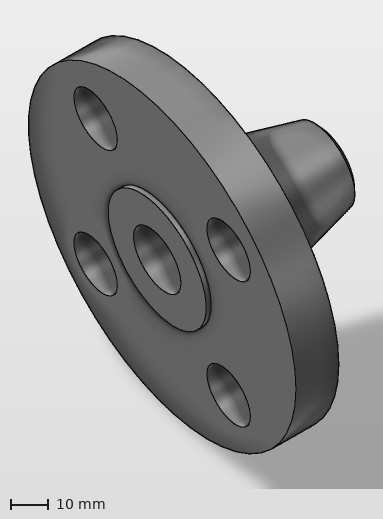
import cadquery as cq
import math

flange_diameter = 117.4
flange_thickness = 14.3

face_diameter = 43.0
face_height = 1.6

hub_length = 41.3
hub_base_diameter = 47.8
hub_tip_diameter = 26.8
bevel_length = 1.5
bevel_end_diameter = 22.3

bore_diameter = 20.8
bolt_hole_diameter = 19.0
bolt_circle_diameter = 82.5
bolt_count = 4
first_bolt_angle = 45.0

hub_end = flange_thickness + hub_length
bevel_start = hub_end - bevel_length


def make_body():
    """Revolve the half section (radius, Y) of face, disc and hub about the Y axis."""
    half_section = [
        (0, -face_height),
        (face_diameter / 2, -face_height),
        (face_diameter / 2, 0),
        (flange_diameter / 2, 0),
        (flange_diameter / 2, flange_thickness),
        (hub_base_diameter / 2, flange_thickness),
        (hub_tip_diameter / 2, bevel_start),
        (bevel_end_diameter / 2, hub_end),
        (0, hub_end),
    ]
    return cq.Workplane("XY").polyline(half_section).close().revolve(360, (0, 0), (0, 1))


def make_hole(diameter, x, z):
    """Cylinder along Y that spans the whole part."""
    start = cq.Vector(x, -face_height, z)
    length = face_height + hub_end
    return cq.Workplane(cq.Solid.makeCylinder(diameter / 2, length, start, cq.Vector(0, 1, 0)))


result = make_body().cut(make_hole(bore_diameter, 0, 0))

for index in range(bolt_count):
    angle = math.radians(first_bolt_angle + index * 360 / bolt_count)
    bolt_x = bolt_circle_diameter / 2 * math.cos(angle)
    bolt_z = bolt_circle_diameter / 2 * math.sin(angle)
    result = result.cut(make_hole(bolt_hole_diameter, bolt_x, bolt_z))